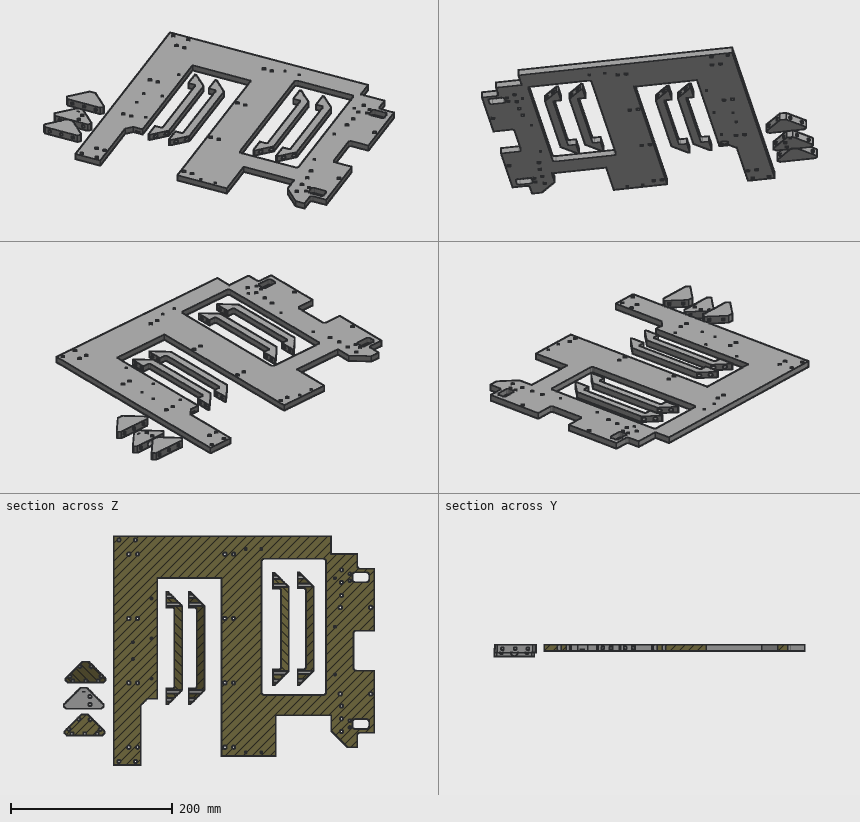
import cadquery as cq
PLATE_WIDTH = 323.8
PLATE_DEPTH = 284.0
PLATE_THICK = 8.0
MID_Y = PLATE_DEPTH / 2

FOOT_WIDTH = 34.0
ARM_WIDTH = 54.5
ARM_SHOULDER_Y = 82.2
ARM_CHAMFER = 7.7
BAY_RIGHT = 134.0
BAY_TOP_Y = 232.0
CENTRE_ARM_RIGHT = 201.5
CENTRE_ARM_FRONT_Y = 11.0
BRIDGE_FRONT_Y = 61.7
HEAD_LEFT = 270.0
HEAD_CHAMFER = 20.0
SHOULDER_X = 302.5
SHOULDER_HALF = 120.0
TAB_OUTER_HALF = 102.0
TAB_INNER_HALF = 24.7
HEAD_NOTCH_X = 298.0
NOTCH_RADIUS = 3.0

WINDOW_LEFT = 183.5
WINDOW_WIDTH = 80.0
WINDOW_FRONT_Y = 87.2
WINDOW_DEPTH = 168.5
WINDOW_RADIUS = 3.0

SLOT_X = 306.8
SLOT_OFFSET = 91.0
SLOT_LENGTH = 20.5
SLOT_WIDTH = 12.0
SLOT_RADIUS = 3.0

TAPPED_DIA = 2.5
CABLE_DIA = 3.0
SCREW_DIA = 4.0
DOWEL_DIA = 4.2

RAIL_PITCH = 80.0
RAIL_DOWEL_X = (19.0, 138.0)
RAIL_SCREW_X = (29.7, 149.0)
CORNER_X = (6.5, 27.0)
CORNER_OFFSET = 137.5
EDGE_TAPPED_X = (164.0, 183.3)
EDGE_TAPPED_OFFSET = 126.0
ARM_TAPPED_X = 47.0
ARM_TAPPED_Y = 157.0
ARM_TAPPED_PITCH = 49.8
SENSOR_X = 24.0
SENSOR_OFFSET = 10.5
HEAD_TAPPED_X = 274.8
HEAD_TAPPED_OFFSETS = (-29.7, 29.7, 90.0)
HEAD_SCREW_X = 283.0
HEAD_SCREW_OFFSET = 84.5
HEAD_SCREW_PITCH = 16.0
CABLE_X = 293.3
CABLE_HALF_PITCH = 4.2
HEAD_DOWEL_X = (281.5, 319.0)
HEAD_DOWEL_OFFSET = 53.5

RECESS_DIA = 10.0
RECESS_DEPTH = 2.5
RECESS_WALL = 0.5
RECESS_PLACE = (ARM_TAPPED_X, ARM_SHOULDER_Y + RECESS_WALL + RECESS_DIA / 2)

HANDLE_LENGTH = 140.0
HANDLE_REACH = 20.0
HANDLE_BAR = 10.0
HANDLE_FOOT = 20.0
HANDLE_TIP = 2.0
HANDLE_RADIUS = 2.0
HANDLE_HOLE_DIA = 4.0
HANDLE_HOLE_SPOTS = (5.8, 16.0)
HANDLE_CORNERS = ((65.2, 75.2), (93.0, 75.2), (197.5, 98.8), (228.5, 99.0))

GUSSET_WIDTH = 50.0
GUSSET_THICK = 10.0
GUSSET_APEX = 7.7
GUSSET_SIDE = 2.0
GUSSET_CUT = 3.0
GUSSET_HOLE_DIA = 4.0
GUSSET_HOLE_DEPTH = 4.0
GUSSET_HOLE_PITCH = 16.0
LEG_HOLE_MIDDLE = 10.8
LEG_HOLE_HALF_PITCH = 6.0
BORE_DIA = 8.5
BORE_DEPTH = 21.2
PIN_HOLE_X = 7.7
PIN_HOLE_Y = (5.5, 15.0)
BORED_DROP = 5.0
BORED_PLACE = (-37.0, 70.0)
PLAIN_PLACES = ((-34.7, 102.3), (-36.0, 36.5))

GUSSET_LEG = (GUSSET_WIDTH - GUSSET_APEX) / 2
GUSSET_DEPTH = GUSSET_LEG + GUSSET_SIDE + GUSSET_CUT


def both_sides(offsets):
    """Y positions at the given distances on either side of the middle line."""
    return [MID_Y + side * offset for offset in offsets for side in (-1, 1)]


def grid(xs, ys):
    return [(x, y) for x in xs for y in ys]


def plate_blank():
    outline = [
        (0, 0),
        (FOOT_WIDTH, 0),
        (FOOT_WIDTH, ARM_SHOULDER_Y - ARM_CHAMFER),
        (FOOT_WIDTH + ARM_CHAMFER, ARM_SHOULDER_Y),
        (ARM_WIDTH, ARM_SHOULDER_Y),
        (ARM_WIDTH, BAY_TOP_Y),
        (BAY_RIGHT, BAY_TOP_Y),
        (BAY_RIGHT, CENTRE_ARM_FRONT_Y),
        (CENTRE_ARM_RIGHT, CENTRE_ARM_FRONT_Y),
        (CENTRE_ARM_RIGHT, BRIDGE_FRONT_Y),
        (HEAD_LEFT, BRIDGE_FRONT_Y),
        (HEAD_LEFT, MID_Y - SHOULDER_HALF + HEAD_CHAMFER),
        (HEAD_LEFT + HEAD_CHAMFER, MID_Y - SHOULDER_HALF),
        (SHOULDER_X, MID_Y - SHOULDER_HALF),
        (SHOULDER_X, MID_Y - TAB_OUTER_HALF),
        (PLATE_WIDTH, MID_Y - TAB_OUTER_HALF),
        (PLATE_WIDTH, MID_Y - TAB_INNER_HALF),
        (HEAD_NOTCH_X, MID_Y - TAB_INNER_HALF),
        (HEAD_NOTCH_X, MID_Y + TAB_INNER_HALF),
        (PLATE_WIDTH, MID_Y + TAB_INNER_HALF),
        (PLATE_WIDTH, MID_Y + TAB_OUTER_HALF),
        (SHOULDER_X, MID_Y + TAB_OUTER_HALF),
        (SHOULDER_X, MID_Y + SHOULDER_HALF),
        (HEAD_LEFT, MID_Y + SHOULDER_HALF),
        (HEAD_LEFT, PLATE_DEPTH),
        (0, PLATE_DEPTH),
    ]
    blank = cq.Workplane("XY").polyline(outline).close().extrude(-PLATE_THICK)
    inner_corners = [(SHOULDER_X, y) for y in both_sides([TAB_OUTER_HALF])]
    inner_corners += [(HEAD_NOTCH_X, y) for y in both_sides([TAB_INNER_HALF])]
    for x, y in inner_corners:
        corner_edge = cq.selectors.NearestToPointSelector((x, y, -PLATE_THICK / 2))
        blank = blank.edges("|Z").edges(corner_edge).fillet(NOTCH_RADIUS)
    return blank


def rounded_opening(centre, length, width, radius):
    return (
        cq.Workplane("XY")
        .center(*centre)
        .rect(length, width)
        .extrude(-PLATE_THICK)
        .edges("|Z")
        .fillet(radius)
    )


def plate_openings():
    window_centre = (WINDOW_LEFT + WINDOW_WIDTH / 2, WINDOW_FRONT_Y + WINDOW_DEPTH / 2)
    openings = rounded_opening(window_centre, WINDOW_WIDTH, WINDOW_DEPTH, WINDOW_RADIUS)
    for y in both_sides([SLOT_OFFSET]):
        openings = openings.add(rounded_opening((SLOT_X, y), SLOT_LENGTH, SLOT_WIDTH, SLOT_RADIUS))
    return openings.combine()


def plate_hole_groups():
    """Pairs of hole diameter and hole centres."""
    rail_y = both_sides([RAIL_PITCH / 2, 3 * RAIL_PITCH / 2])
    head_screw_offsets = [HEAD_SCREW_OFFSET + step * HEAD_SCREW_PITCH for step in (-1, 0, 1)]
    cable_offsets = [SLOT_OFFSET - CABLE_HALF_PITCH, SLOT_OFFSET + CABLE_HALF_PITCH]
    tapped = grid(EDGE_TAPPED_X, both_sides([EDGE_TAPPED_OFFSET]))
    tapped += [(ARM_TAPPED_X, ARM_TAPPED_Y + step * ARM_TAPPED_PITCH) for step in (-1, 0, 1)]
    tapped += grid([SENSOR_X], both_sides([SENSOR_OFFSET]))
    tapped += [(HEAD_TAPPED_X, MID_Y + offset) for offset in HEAD_TAPPED_OFFSETS]
    cable = grid([CABLE_X], both_sides(cable_offsets))
    screw = grid(RAIL_SCREW_X, rail_y)
    screw += grid(CORNER_X, both_sides([CORNER_OFFSET]))
    screw += grid([HEAD_SCREW_X], both_sides(head_screw_offsets))
    dowel = grid(RAIL_DOWEL_X, rail_y)
    dowel += grid(HEAD_DOWEL_X, both_sides([HEAD_DOWEL_OFFSET]))
    return [(TAPPED_DIA, tapped), (CABLE_DIA, cable), (SCREW_DIA, screw), (DOWEL_DIA, dowel)]


def make_plate():
    plate = plate_blank().cut(plate_openings())
    for diameter, centres in plate_hole_groups():
        drills = cq.Workplane("XY").pushPoints(centres).circle(diameter / 2).extrude(-PLATE_THICK)
        plate = plate.cut(drills)
    recess = (
        cq.Workplane("XY", origin=(*RECESS_PLACE, -PLATE_THICK))
        .circle(RECESS_DIA / 2)
        .extrude(RECESS_DEPTH)
    )
    return plate.cut(recess)


def make_handle(corner):
    """C-shaped handle with its feet toward -X; corner is its front-left corner."""
    slope = HANDLE_REACH - HANDLE_TIP
    bar_left = HANDLE_REACH - HANDLE_BAR
    outline = [
        (0, 0),
        (HANDLE_TIP, 0),
        (HANDLE_REACH, slope),
        (HANDLE_REACH, HANDLE_LENGTH - slope),
        (HANDLE_TIP, HANDLE_LENGTH),
        (0, HANDLE_LENGTH),
        (0, HANDLE_LENGTH - HANDLE_FOOT),
        (bar_left, HANDLE_LENGTH - HANDLE_FOOT),
        (bar_left, HANDLE_FOOT),
        (0, HANDLE_FOOT),
    ]
    handle = cq.Workplane("XY").polyline(outline).close().extrude(-PLATE_THICK)
    for y in (HANDLE_FOOT, HANDLE_LENGTH - HANDLE_FOOT):
        corner_edge = cq.selectors.NearestToPointSelector((bar_left, y, -PLATE_THICK / 2))
        handle = handle.edges("|Z").edges(corner_edge).fillet(HANDLE_RADIUS)
    hole_spots = [(y, -PLATE_THICK / 2) for y in HANDLE_HOLE_SPOTS]
    hole_spots += [(HANDLE_LENGTH - y, -PLATE_THICK / 2) for y in HANDLE_HOLE_SPOTS]
    drills = (
        cq.Workplane("YZ")
        .pushPoints(hole_spots)
        .circle(HANDLE_HOLE_DIA / 2)
        .extrude(HANDLE_REACH)
    )
    return handle.cut(drills).translate((*corner, 0))


def drill(start, direction, diameter, depth):
    return cq.Workplane(
        cq.Solid.makeCylinder(diameter / 2, depth, cq.Vector(*start), cq.Vector(*direction))
    )


def gusset_blank():
    """Triangular block with its top at Z = 0, two holes in each leg and two in the front face."""
    half_width = GUSSET_WIDTH / 2
    outline = [
        (half_width - GUSSET_CUT, 0),
        (half_width, GUSSET_CUT),
        (half_width, GUSSET_CUT + GUSSET_SIDE),
        (GUSSET_APEX / 2, GUSSET_DEPTH),
        (-GUSSET_APEX / 2, GUSSET_DEPTH),
        (-half_width, GUSSET_CUT + GUSSET_SIDE),
        (-half_width, GUSSET_CUT),
        (-half_width + GUSSET_CUT, 0),
    ]
    mid_z = -GUSSET_THICK / 2
    gusset = cq.Workplane("XY").polyline(outline).close().extrude(-GUSSET_THICK)
    for side in (-1, 1):
        front_start = (side * GUSSET_HOLE_PITCH, 0, mid_z)
        gusset = gusset.cut(drill(front_start, (0, 1, 0), GUSSET_HOLE_DIA, GUSSET_HOLE_DEPTH))
        for step in (-1, 1):
            down = LEG_HOLE_MIDDLE + step * LEG_HOLE_HALF_PITCH
            leg_start = (side * (GUSSET_APEX / 2 + down), GUSSET_DEPTH - down, mid_z)
            inward = (-side, -1, 0)
            gusset = gusset.cut(drill(leg_start, inward, GUSSET_HOLE_DIA, GUSSET_HOLE_DEPTH))
    return gusset


def make_plain_gusset(place):
    centre_hole = drill((0, 0, -GUSSET_THICK / 2), (0, 1, 0), GUSSET_HOLE_DIA, GUSSET_HOLE_DEPTH)
    return gusset_blank().cut(centre_hole).translate((*place, 0))


def make_bored_gusset():
    bore = drill((0, 0, -GUSSET_THICK / 2), (0, 1, 0), BORE_DIA, BORE_DEPTH)
    gusset = gusset_blank().cut(bore)
    for y in PIN_HOLE_Y:
        gusset = gusset.cut(drill((PIN_HOLE_X, y, 0), (0, 0, -1), GUSSET_HOLE_DIA, GUSSET_THICK))
    return gusset.translate((*BORED_PLACE, -BORED_DROP))


plate = make_plate()
handles = [make_handle(corner).val() for corner in HANDLE_CORNERS]
plain_gussets = [make_plain_gusset(place).val() for place in PLAIN_PLACES]
bored_gusset = make_bored_gusset()

result = cq.Compound.makeCompound([plate.val(), *handles, *plain_gussets, bored_gusset.val()])